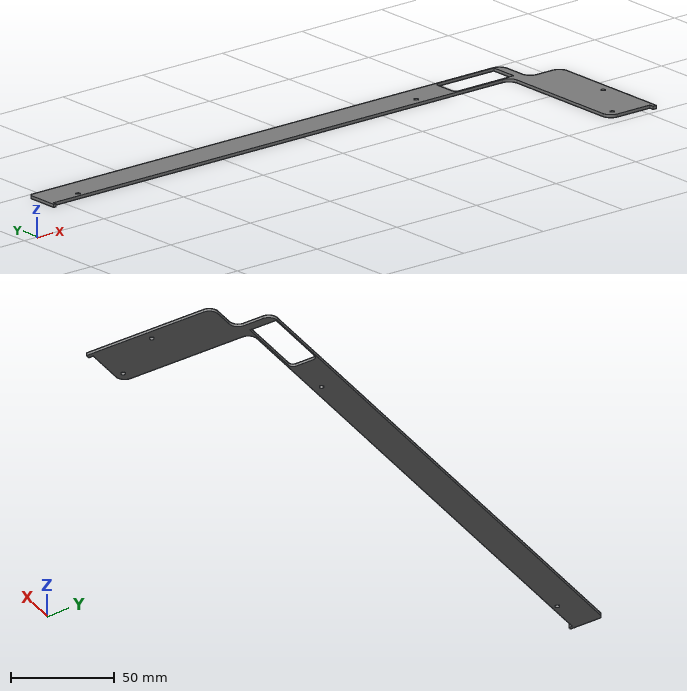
import cadquery as cq

length = 315.8
depth = 93.2
thickness = 1.6

arm_width = 16.5
arm_corner_radius = 2.0
arm_tab_width = 1.5
arm_tab_length = 2.0

neck_right = 296.0
pad_left = 288.3
pad_rear = -21.2
pad_tab_width = 2.2
pad_tab_length = 2.5
pad_front = -depth + pad_tab_length
corner_radius = 5.0

window_left = 254.2
window_right = 291.2
window_rear = -0.5
window_front = -15.5
window_radius = 2.5

hole_diameter = 2.2
hole_centers = [(19.3, -13.5), (233.0, -11.7), (310.8, -59.0), (293.7, -86.2)]


def round_corner(body, x, y, radius):
    """Round the vertical edge of the sheet that stands at (x, y)."""
    reach = 0.03
    box = cq.selectors.BoxSelector(
        (x - reach, y - reach, -reach),
        (x + reach, y + reach, thickness + reach),
    )
    return body.edges("|Z").edges(box).fillet(radius)


def make_sheet():
    """L-shaped sheet with a small tab at each free end."""
    outline = [
        (0, 0),
        (neck_right, 0),
        (neck_right, pad_rear),
        (length, pad_rear),
        (length, -depth),
        (length - pad_tab_width, -depth),
        (length - pad_tab_width, pad_front),
        (pad_left, pad_front),
        (pad_left, -arm_width),
        (arm_tab_width, -arm_width),
        (arm_tab_width, -arm_width - arm_tab_length),
        (0, -arm_width - arm_tab_length),
    ]
    sheet = cq.Workplane("XY").polyline(outline).close().extrude(thickness)
    sheet = round_corner(sheet, 0, 0, arm_corner_radius)
    for x, y in [(neck_right, 0), (neck_right, pad_rear), (length, pad_rear)]:
        sheet = round_corner(sheet, x, y, corner_radius)
    for y in (pad_front, -arm_width):
        sheet = round_corner(sheet, pad_left, y, corner_radius)
    return sheet


def make_window():
    """Rectangular cutter, rounded only at its two left corners."""
    return (
        cq.Workplane("XY")
        .moveTo(window_left, window_front)
        .lineTo(window_right, window_front)
        .lineTo(window_right, window_rear)
        .lineTo(window_left, window_rear)
        .close()
        .extrude(thickness)
        .edges("|Z and <X")
        .fillet(window_radius)
    )


def make_holes():
    """Round cutters for all the through holes."""
    return (
        cq.Workplane("XY")
        .pushPoints(hole_centers)
        .circle(hole_diameter / 2)
        .extrude(thickness)
    )


result = make_sheet().cut(make_window()).cut(make_holes())